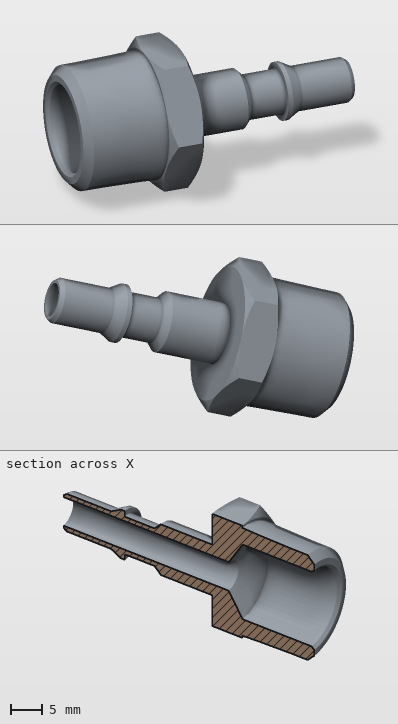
import cadquery as cq
import math

total_length = 49.0
thread_end_y = -total_length / 2
tip_y = total_length / 2

hex_across_flats = 22.0
thread_length = 14.0
hex_height = 6.0
hex_start_y = thread_end_y + thread_length
hex_end_y = hex_start_y + hex_height
hex_chamfer_angle = 30.0

thread_end_radius = 10.3
thread_root_radius = 10.6
thread_chamfer_length = 1.3
thread_face_radius = 8.9

shank_radius = 5.0
shank_length = 10.0
shank_cone_length = 1.22
shank_end_y = hex_end_y + shank_length
plug_radius = 3.7
neck_start_y = shank_end_y + shank_cone_length
collar_radius = 4.8
neck_length = 5.8
collar_width = 0.8
collar_cone_length = 1.9
collar_start_y = neck_start_y + neck_length
collar_cone_y = collar_start_y + collar_width
collar_end_y = collar_cone_y + collar_cone_length
collar_fillet = 0.2
tip_chamfer_length = 0.75
tip_face_radius = 3.25

bore_radius = 7.25
bore_depth = thread_length
bore_mouth_chamfer = 0.55
passage_radius = 2.75
drill_half_angle = 59.0


def revolve_profile(points):
    """Turn a closed (radius, y) outline about the Y axis."""
    return cq.Workplane("XY").polyline(points).close().revolve(360, (0, 0, 0), (0, 1, 0))


def make_hexagon():
    """Hexagon with corners on the X axis, its corners chamfered at both faces."""
    corner_radius = hex_across_flats / math.sqrt(3)
    flat_radius = hex_across_flats / 2
    corner_drop = (corner_radius - flat_radius) * math.tan(math.radians(hex_chamfer_angle))
    prism = (
        cq.Workplane("XZ", origin=(0, hex_end_y, 0))
        .polygon(6, 2 * corner_radius)
        .extrude(hex_height)
    )
    envelope = revolve_profile([
        (0, hex_start_y),
        (flat_radius, hex_start_y),
        (corner_radius, hex_start_y + corner_drop),
        (corner_radius, hex_end_y - corner_drop),
        (flat_radius, hex_end_y),
        (0, hex_end_y),
    ])
    return prism.intersect(envelope)


def make_thread_body():
    return revolve_profile([
        (0, thread_end_y),
        (thread_face_radius, thread_end_y),
        (thread_end_radius, thread_end_y + thread_chamfer_length),
        (thread_root_radius, hex_start_y),
        (0, hex_start_y),
    ])


def make_plug():
    """Stepped shank with a collar, filleted where the neck meets the collar."""
    fillet_mid = collar_fillet * (1 - math.sqrt(0.5))
    return (
        cq.Workplane("XY")
        .moveTo(0, hex_end_y)
        .lineTo(shank_radius, hex_end_y)
        .lineTo(shank_radius, shank_end_y)
        .lineTo(plug_radius, neck_start_y)
        .lineTo(plug_radius, collar_start_y - collar_fillet)
        .threePointArc(
            (plug_radius + fillet_mid, collar_start_y - fillet_mid),
            (plug_radius + collar_fillet, collar_start_y),
        )
        .lineTo(collar_radius, collar_start_y)
        .lineTo(collar_radius, collar_cone_y)
        .lineTo(plug_radius, collar_end_y)
        .lineTo(plug_radius, tip_y - tip_chamfer_length)
        .lineTo(tip_face_radius, tip_y)
        .lineTo(0, tip_y)
        .close()
        .revolve(360, (0, 0, 0), (0, 1, 0))
    )


def make_bore():
    floor_y = thread_end_y + bore_depth
    cone_length = (bore_radius - passage_radius) / math.tan(math.radians(drill_half_angle))
    return revolve_profile([
        (0, thread_end_y),
        (bore_radius + bore_mouth_chamfer, thread_end_y),
        (bore_radius, thread_end_y + bore_mouth_chamfer),
        (bore_radius, floor_y),
        (passage_radius, floor_y + cone_length),
        (passage_radius, tip_y),
        (0, tip_y),
    ])


result = make_hexagon().union(make_thread_body()).union(make_plug()).cut(make_bore())